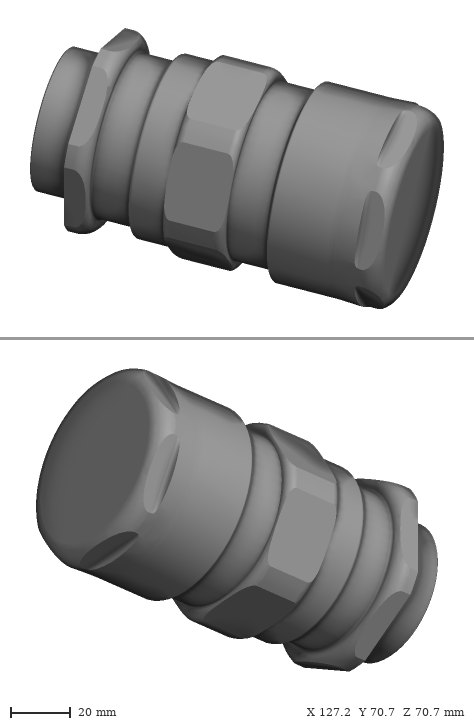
import cadquery as cq
import math


FITTING_START = 0.0
FITTING_HEX_START = 14.9
FITTING_HEX_END = 23.0
UNION_START = 37.1
UNION_HEX_START = 50.0
SLEEVE_START = 72.0
CAP_START = 87.3
CAP_END = 127.2

HEX_ACROSS_FLATS = 65.0
HEX_CORNER_DIAMETER = 70.7
HEX_APOTHEM = HEX_ACROSS_FLATS / 2
HEX_CORNER_RADIUS = HEX_CORNER_DIAMETER / 2
HEX_SIDES = 6
CORNERS_ALONG_Z = 0.0
CORNERS_ALONG_Y = 30.0

SPIGOT_RADIUS = 50.0 / 2
SPIGOT_CHAMFER = 0.5
SPIGOT_ROOT_FILLET = 0.5
FITTING_HEX_ROUND = 5.0
FITTING_BARREL_RADIUS = 57.4 / 2
FITTING_BARREL_FILLET = 0.8

UNION_BARREL_RADIUS = 64.0 / 2
UNION_BARREL_ROUND = 1.3
UNION_HEX_ROUND = 3.2

SLEEVE_RADIUS = 62.1 / 2
SLEEVE_FLARE_RADIUS = 32.4
SLEEVE_FLARE_LENGTH = SLEEVE_FLARE_RADIUS - SLEEVE_RADIUS

CAP_RADIUS = 69.6 / 2
CAP_RIM_ROUND = 0.8
CAP_CONE_BLEND_START = 109.0
CAP_CONE_START = 110.3
CAP_END_ROUND = 6.2
CAP_FLAT_START = 118.4
CAP_FLAT_FILLET = 1.3

ARC_MIDPOINT_INSET = 1 - math.sqrt(0.5)


def revolve_profile(profile):
    """Close a half profile, drawn as (x, radius), and turn it about the X axis."""
    return profile.close().revolve(360, (0, 0, 0), (1, 0, 0))


def hex_prism(start, end, corner_angle):
    """Hexagonal prism along X whose corners are turned from the Z axis by corner_angle degrees."""
    across_corners = HEX_ACROSS_FLATS / math.cos(math.pi / HEX_SIDES)
    prism = (
        cq.Workplane("YZ", origin=(start, 0, 0))
        .polygon(HEX_SIDES, across_corners)
        .extrude(end - start)
    )
    return prism.rotate((0, 0, 0), (1, 0, 0), 90 + corner_angle)


def round_down(profile, x, radius, size):
    """Convex quarter arc from the outer surface at `radius` to the end face at the larger x."""
    inset = size * ARC_MIDPOINT_INSET
    return profile.threePointArc((x - inset, radius - inset), (x, radius - size))


def round_up(profile, x, radius, size):
    """Convex quarter arc from the end face at the smaller x to the outer surface at `radius`."""
    inset = size * ARC_MIDPOINT_INSET
    return profile.threePointArc((x + inset, radius - inset), (x + size, radius))


def fillet_up(profile, x, radius, size):
    """Concave quarter arc from the surface at `radius` up to the shoulder face at the larger x."""
    inset = size * ARC_MIDPOINT_INSET
    return profile.threePointArc((x - inset, radius + inset), (x, radius + size))


def fillet_down(profile, x, radius, size):
    """Concave quarter arc from the shoulder face at the smaller x down to the surface at `radius`."""
    inset = size * ARC_MIDPOINT_INSET
    return profile.threePointArc((x + inset, radius + inset), (x + size, radius))


def make_entry_fitting():
    """Closed spigot, hexagon and barrel."""
    spigot = (
        cq.Workplane("XY")
        .moveTo(FITTING_START, 0)
        .lineTo(FITTING_START, SPIGOT_RADIUS - SPIGOT_CHAMFER)
        .lineTo(FITTING_START + SPIGOT_CHAMFER, SPIGOT_RADIUS)
        .lineTo(FITTING_HEX_START - SPIGOT_ROOT_FILLET, SPIGOT_RADIUS)
    )
    spigot = fillet_up(spigot, FITTING_HEX_START, SPIGOT_RADIUS, SPIGOT_ROOT_FILLET)
    spigot = revolve_profile(spigot.lineTo(FITTING_HEX_START, 0))

    hex_blank = (
        cq.Workplane("XY")
        .moveTo(FITTING_HEX_START, 0)
        .lineTo(FITTING_HEX_START, HEX_CORNER_RADIUS)
        .lineTo(FITTING_HEX_END - FITTING_HEX_ROUND, HEX_CORNER_RADIUS)
    )
    hex_blank = round_down(hex_blank, FITTING_HEX_END, HEX_CORNER_RADIUS, FITTING_HEX_ROUND)
    hex_blank = revolve_profile(hex_blank.lineTo(FITTING_HEX_END, 0))
    hexagon = hex_blank.intersect(hex_prism(FITTING_HEX_START, FITTING_HEX_END, CORNERS_ALONG_Z))

    barrel = (
        cq.Workplane("XY")
        .moveTo(FITTING_HEX_END, 0)
        .lineTo(FITTING_HEX_END, FITTING_BARREL_RADIUS + FITTING_BARREL_FILLET)
    )
    barrel = fillet_down(barrel, FITTING_HEX_END, FITTING_BARREL_RADIUS, FITTING_BARREL_FILLET)
    barrel = barrel.lineTo(UNION_START, FITTING_BARREL_RADIUS).lineTo(UNION_START, 0)
    return spigot.union(hexagon).union(revolve_profile(barrel))


def make_union_nut():
    """Round barrel followed by a hexagon that is rounded at both ends."""
    barrel = (
        cq.Workplane("XY")
        .moveTo(UNION_START, 0)
        .lineTo(UNION_START, UNION_BARREL_RADIUS - UNION_BARREL_ROUND)
    )
    barrel = round_up(barrel, UNION_START, UNION_BARREL_RADIUS, UNION_BARREL_ROUND)
    barrel = barrel.lineTo(UNION_HEX_START, UNION_BARREL_RADIUS).lineTo(UNION_HEX_START, 0)

    hex_blank = (
        cq.Workplane("XY")
        .moveTo(UNION_HEX_START, 0)
        .lineTo(UNION_HEX_START, HEX_CORNER_RADIUS - UNION_HEX_ROUND)
    )
    hex_blank = round_up(hex_blank, UNION_HEX_START, HEX_CORNER_RADIUS, UNION_HEX_ROUND)
    hex_blank = hex_blank.lineTo(SLEEVE_START - UNION_HEX_ROUND, HEX_CORNER_RADIUS)
    hex_blank = round_down(hex_blank, SLEEVE_START, HEX_CORNER_RADIUS, UNION_HEX_ROUND)
    hex_blank = revolve_profile(hex_blank.lineTo(SLEEVE_START, 0))
    hexagon = hex_blank.intersect(hex_prism(UNION_HEX_START, SLEEVE_START, CORNERS_ALONG_Y))
    return revolve_profile(barrel).union(hexagon)


def make_sleeve():
    """Plain barrel that flares into a short cone against the cap."""
    profile = (
        cq.Workplane("XY")
        .moveTo(SLEEVE_START, 0)
        .lineTo(SLEEVE_START, SLEEVE_RADIUS)
        .lineTo(CAP_START - SLEEVE_FLARE_LENGTH, SLEEVE_RADIUS)
        .lineTo(CAP_START, SLEEVE_FLARE_RADIUS)
        .lineTo(CAP_START, 0)
    )
    return revolve_profile(profile)


def make_cap_blank():
    """Round cap: a cylinder blending into a slight cone, with a large round at the end."""
    cone_end = CAP_END - CAP_END_ROUND
    cone_angle = math.atan2(HEX_CORNER_RADIUS - CAP_RADIUS, cone_end - CAP_CONE_START)
    blend_reach = CAP_CONE_START - CAP_CONE_BLEND_START
    blend_end = (
        CAP_CONE_START + blend_reach * math.cos(cone_angle),
        CAP_RADIUS + blend_reach * math.sin(cone_angle),
    )
    profile = (
        cq.Workplane("XY")
        .moveTo(CAP_START, 0)
        .lineTo(CAP_START, CAP_RADIUS - CAP_RIM_ROUND)
    )
    profile = round_up(profile, CAP_START, CAP_RADIUS, CAP_RIM_ROUND)
    profile = (
        profile.lineTo(CAP_CONE_BLEND_START, CAP_RADIUS)
        .tangentArcPoint(blend_end, relative=False)
        .lineTo(cone_end, HEX_CORNER_RADIUS)
    )
    profile = round_down(profile, CAP_END, HEX_CORNER_RADIUS, CAP_END_ROUND)
    return revolve_profile(profile.lineTo(CAP_END, 0))


def make_cap():
    """Cap with six wrench flats, each ending in a filleted shoulder."""
    flat_length = CAP_END - CAP_FLAT_START
    flat_width = HEX_CORNER_DIAMETER
    cut_depth = HEX_CORNER_RADIUS
    flat_cutter = (
        cq.Workplane("XY", origin=(CAP_FLAT_START, 0, HEX_APOTHEM))
        .box(flat_length, flat_width, cut_depth, centered=(False, True, False))
        .edges("<X and <Z")
        .fillet(CAP_FLAT_FILLET)
    )
    cap = make_cap_blank()
    for side in range(HEX_SIDES):
        cap = cap.cut(flat_cutter.rotate((0, 0, 0), (1, 0, 0), side * 360 / HEX_SIDES))
    return cap


entry_fitting = make_entry_fitting()
union_nut = make_union_nut()
sleeve = make_sleeve()
cap = make_cap()

result = cq.Compound.makeCompound(
    [entry_fitting.val(), union_nut.val(), sleeve.val(), cap.val()]
)